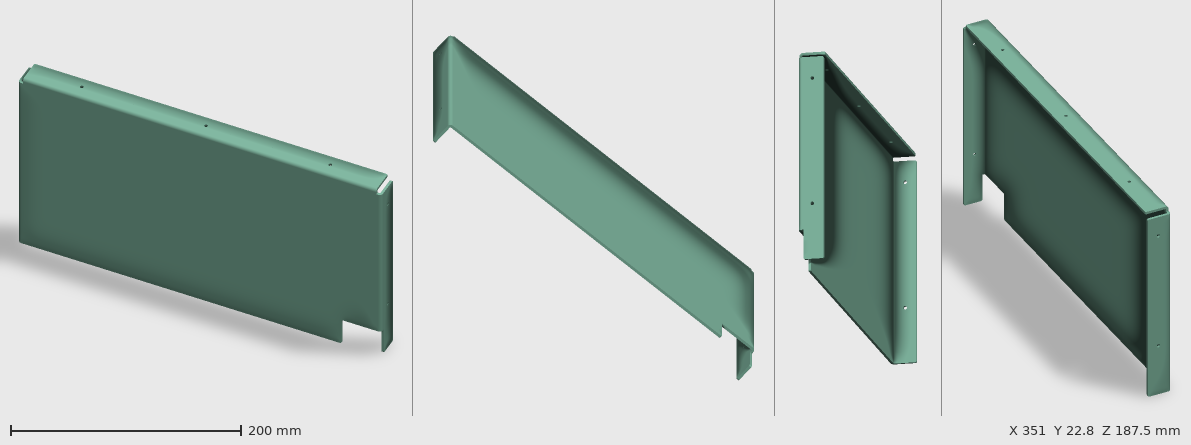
import cadquery as cq

length = 351.0
depth = 22.8
height = 187.5

thickness = 2.5
inner_bend_radius = 0.7
outer_bend_radius = inner_bend_radius + thickness
corner_radius = 1.5

relief_width = 5.0
relief_height = 5.3

notch_width = 38.5
notch_height = 26.7
notch_depth = 5.0

hole_diameter = 3.0
hole_from_rear = 10.2
top_hole_pitch = 120.0
upper_side_hole_drop = 24.5
lower_side_hole_rise = 50.0

half_length = length / 2
front = -depth / 2
rear = depth / 2
bottom = -height / 2
top = height / 2
side_top = top - relief_height
hole_y = rear - hole_from_rear


def make_box(x_min, x_max, y_min, y_max, z_min, z_max):
    """Box between the given limits."""
    size = (x_max - x_min, y_max - y_min, z_max - z_min)
    return cq.Workplane("XY").box(*size, centered=False).translate((x_min, y_min, z_min))


def make_folded_sheet():
    """Front panel with its left, right and top flanges, before cutting."""
    outer = make_box(-half_length, half_length, front, rear, bottom, top)
    outer = outer.edges("<Y and (not <Z)").fillet(outer_bend_radius)
    inner = make_box(
        -half_length + thickness, half_length - thickness,
        front + thickness, rear,
        bottom, top - thickness,
    )
    inner = inner.edges("<Y and (not <Z)").fillet(inner_bend_radius)
    return outer.cut(inner)


def cut_corner_reliefs(sheet):
    """Separate the top flange from the side flanges."""
    for x_min in (-half_length, half_length - relief_width):
        sheet = sheet.cut(make_box(x_min, x_min + relief_width, front, rear, side_top, top))
    return sheet


def cut_panel_notch(sheet):
    """Remove the lower right of the panel and its bend, leaving the flat flange."""
    notch = make_box(
        half_length - notch_width, half_length,
        front, front + notch_depth,
        bottom, bottom + notch_height,
    )
    return sheet.cut(notch)


def round_corners(sheet):
    """Round the free flange corners and the panel corner beside the notch."""
    rear_corners = sheet.faces(">Y").edges(cq.selectors.LengthNthSelector(0))
    sheet = rear_corners.fillet(corner_radius)
    notch_x = half_length - notch_width
    panel_corner = (notch_x, front + thickness / 2, bottom)
    sheet = sheet.edges(cq.selectors.NearestToPointSelector(panel_corner)).fillet(corner_radius)
    flange_corner = (half_length - thickness / 2, front + notch_depth, bottom)
    return sheet.edges(cq.selectors.NearestToPointSelector(flange_corner)).fillet(corner_radius)


def cut_holes(sheet):
    """Drill the row of top holes and the holes through both side flanges."""
    top_holes = (
        cq.Workplane("XY", origin=(0, hole_y, top - relief_height))
        .pushPoints([(-top_hole_pitch, 0), (0, 0), (top_hole_pitch, 0)])
        .circle(hole_diameter / 2)
        .extrude(relief_height)
    )
    side_holes = (
        cq.Workplane("YZ", origin=(-half_length, 0, 0))
        .pushPoints([(hole_y, top - upper_side_hole_drop), (hole_y, bottom + lower_side_hole_rise)])
        .circle(hole_diameter / 2)
        .extrude(length)
    )
    return sheet.cut(top_holes).cut(side_holes)


result = make_folded_sheet()
result = cut_corner_reliefs(result)
result = cut_panel_notch(result)
result = round_corners(result)
result = cut_holes(result)